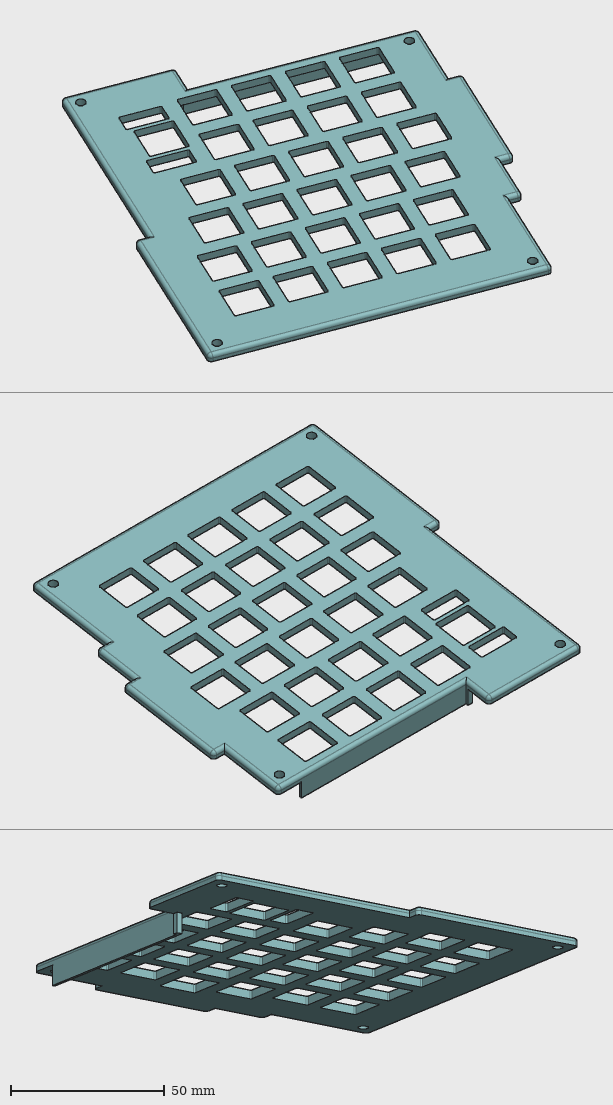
import cadquery as cq


pitch = 19.05
key_size = 14.0
opening_corner_radius = 0.5
stagger = 4.79
border = 13.0

plate_thickness = 3.0
edge_radius = 1.5
upper_left_x = 11.25
left_step_y = 45.0

screw_diameter = 3.4
screw_inset = 5.0

slot_width = 6.75
slot_height = 15.2
slot_spacing = 23.88
slot_drop = 1.4

rib_width = 2.0
rib_depth = 7.0
rib_bottom_y = 43.0
rib_top_y = 115.8

columns = [
    (4, 1, 1),
    (4, 1, 1),
    (5, 0, 2),
    (5, 0, 1),
    (5, 0, 0),
    (5, 0, 0),
]
column_count = len(columns)
row_count = 5
max_shift = 2

plate_width = column_count * pitch + 2 * border
plate_height = row_count * pitch + max_shift * stagger + 2 * border

tallest_column = 2
first_low_column = 4
bottom_step_x = first_low_column * pitch
tab_left_x = tallest_column * pitch
tab_right_x = (tallest_column + 1) * pitch + 2 * border
top_step_x = first_low_column * pitch + 2 * border
top_left_y = plate_height - stagger
top_right_y = plate_height - max_shift * stagger


def column_x(column):
    """X of a column centre; half values lie midway between two columns."""
    return border + (column + 0.5) * pitch


def key_y(row, shift):
    """Y of a key centre in a column raised by a number of stagger steps."""
    return border + (row + 0.5) * pitch + shift * stagger


def stepped_prism(bottom_z, height):
    """Prism with the stepped plate outline and sharp corners."""
    outline = [
        (0, stagger),
        (bottom_step_x, stagger),
        (bottom_step_x, 0),
        (plate_width, 0),
        (plate_width, top_right_y),
        (top_step_x, top_right_y),
        (top_step_x, top_left_y),
        (tab_right_x, top_left_y),
        (tab_right_x, plate_height),
        (tab_left_x, plate_height),
        (tab_left_x, top_left_y),
        (upper_left_x, top_left_y),
        (upper_left_x, left_step_y),
        (0, left_step_y),
    ]
    return cq.Workplane("XY").workplane(offset=bottom_z).polyline(outline).close().extrude(height)


def make_plate():
    """Plate with rounded outer corners and a rounded top edge; inner corners stay sharp."""
    outer_corners = [
        (0, stagger),
        (bottom_step_x, 0),
        (plate_width, 0),
        (plate_width, top_right_y),
        (top_step_x, top_left_y),
        (tab_right_x, plate_height),
        (tab_left_x, plate_height),
        (upper_left_x, top_left_y),
        (0, left_step_y),
    ]
    plate = stepped_prism(0, plate_thickness)
    for x, y in outer_corners:
        middle = (x, y, plate_thickness / 2)
        plate = plate.edges(cq.selectors.NearestToPointSelector(middle)).fillet(edge_radius)
    return plate.faces(">Z").edges().fillet(edge_radius)


def opening_cutters(points, width, height):
    """Round-cornered cutters through the plate, centred on the given points."""
    cutters = cq.Workplane("XY").pushPoints(points).rect(width, height).extrude(plate_thickness)
    return cutters.edges("|Z").fillet(opening_corner_radius)


def cut_keys(plate):
    """Cut the staggered key openings and the thumb key with its two slots."""
    keys = []
    for column, (count, first_row, shift) in enumerate(columns):
        for row in range(first_row, first_row + count):
            keys.append((column_x(column), key_y(row, shift)))
    thumb_x = column_x(0.5)
    thumb_y = key_y(0, 1)
    keys.append((thumb_x, thumb_y))
    slot_y = thumb_y - slot_drop
    slots = [(thumb_x + side * slot_spacing / 2, slot_y) for side in (-1, 1)]
    plate = plate.cut(opening_cutters(keys, key_size, key_size))
    return plate.cut(opening_cutters(slots, slot_width, slot_height))


def cut_screw_holes(plate):
    """Drill a screw hole near each of the four main corners."""
    right_x = plate_width - screw_inset
    centres = [
        (screw_inset, stagger + screw_inset),
        (right_x, screw_inset),
        (right_x, top_right_y - screw_inset),
        (upper_left_x + screw_inset, top_left_y - screw_inset),
    ]
    drills = cq.Workplane("XY").pushPoints(centres).circle(screw_diameter / 2).extrude(plate_thickness)
    return plate.cut(drills)


def make_rib():
    """Downward rib centred on the upper left edge, trimmed flush with the outline."""
    rib_length = rib_top_y - rib_bottom_y
    bar = (
        cq.Workplane("XY")
        .workplane(offset=-rib_depth)
        .center(upper_left_x, rib_bottom_y + rib_length / 2)
        .rect(rib_width, rib_length)
        .extrude(rib_depth)
    )
    return bar.intersect(stepped_prism(-rib_depth, rib_depth))


plate = cut_screw_holes(cut_keys(make_plate()))
result = plate.union(make_rib())